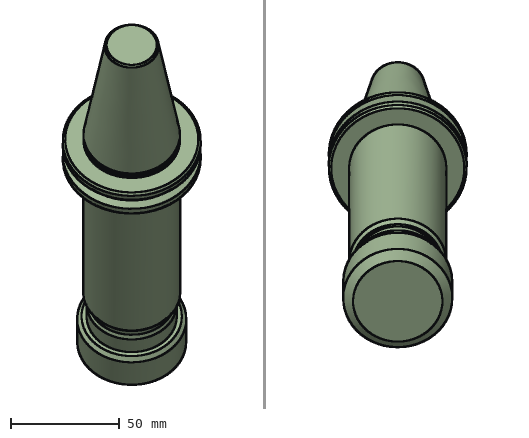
import cadquery as cq

total_height = 228.5

nut_radius = 25.1
nut_face_radius = 20.5
nut_bottom_chamfer_height = 3.5
nut_top = 22.5
nut_top_chamfer = 2.0

collar_radius = 20.8
collar_top = 34.3
neck_radius = 19.6
collar_chamfer_height = 2.0

body_radius = 22.4
body_bottom = 38.5
body_chamfer_height = 2.5
body_chamfer_width = 1.5

flange_radius = 31.7
flange_bottom = 141.0
flange_top = 156.7
flange_chamfer = 1.1
groove_radius = 28.0
groove_bottom = 145.7
groove_top = 152.5
groove_flank_height = 1.48

gauge_height = 160.0
gauge_diameter = 44.5
relief_depth = 0.5
relief_bottom = 157.1
relief_chamfer_height = 0.7
taper_on_radius = 7 / 24 / 2
tip_chamfer = 1.0

gauge_radius = gauge_diameter / 2
relief_radius = gauge_radius - relief_depth
tip_edge_height = total_height - tip_chamfer
tip_edge_radius = gauge_radius - taper_on_radius * (tip_edge_height - gauge_height)

nut_profile = [
    (0, 0),
    (nut_face_radius, 0),
    (nut_radius, nut_bottom_chamfer_height),
    (nut_radius, nut_top - nut_top_chamfer),
    (nut_radius - nut_top_chamfer, nut_top),
]
collar_profile = [
    (collar_radius, nut_top),
    (collar_radius, collar_top - collar_chamfer_height),
    (neck_radius, collar_top),
    (neck_radius, body_bottom),
]
body_profile = [
    (body_radius - body_chamfer_width, body_bottom),
    (body_radius, body_bottom + body_chamfer_height),
    (body_radius, flange_bottom),
]
flange_profile = [
    (flange_radius - flange_chamfer, flange_bottom),
    (flange_radius, flange_bottom + flange_chamfer),
    (flange_radius, groove_bottom),
    (groove_radius, groove_bottom + groove_flank_height),
    (groove_radius, groove_top - groove_flank_height),
    (flange_radius, groove_top),
    (flange_radius, flange_top - flange_chamfer),
    (flange_radius - flange_chamfer, flange_top),
]
shank_profile = [
    (gauge_radius, flange_top),
    (gauge_radius, relief_bottom),
    (relief_radius, relief_bottom + relief_chamfer_height),
    (relief_radius, gauge_height - relief_chamfer_height),
    (gauge_radius, gauge_height),
    (tip_edge_radius, tip_edge_height),
    (tip_edge_radius - tip_chamfer, total_height),
    (0, total_height),
]

half_section = nut_profile + collar_profile + body_profile + flange_profile + shank_profile
result = cq.Workplane("XZ").polyline(half_section).close().revolve(360, (0, 0), (0, 1))